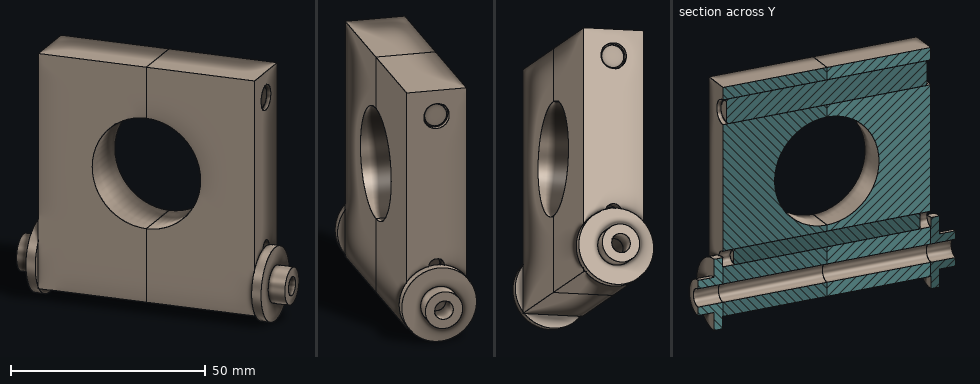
import cadquery as cq

block_width = 60.0
block_depth = 16.0
block_height = 64.0
half_width = block_width / 2

clamp_bore_diameter = 30.0
clamp_bore_height = 35.05

overall_length = 74.4
flange_diameter = 20.0
flange_thickness = 2.6
hub_diameter = 10.0
hub_length = (overall_length - block_width) / 2 - flange_thickness
bush_bore_diameter = 5.0
bush_height = 6.55

pin_chamfer = 0.45
upper_pin_diameter = 6.8
upper_pin_height = 57.0
upper_pin_recess = 1.0
lower_pin_diameter = 4.25
lower_pin_height = 16.1
lower_pin_recess = 3.0


def cylinder_along_x(diameter, start_x, length, height):
    """Cylinder parallel to X, centred on Y = 0 at the given height."""
    return (
        cq.Workplane("YZ", origin=(start_x, 0, height))
        .circle(diameter / 2)
        .extrude(length)
    )


def cross_hole(diameter, height):
    """Cutter for a hole along X through the full width of the block."""
    return cylinder_along_x(diameter, -half_width, block_width, height)


def make_clamp_half(side):
    """Half of the clamp block; side is -1 for the -X half and +1 for the +X half."""
    half = cq.Workplane("XY", origin=(side * half_width / 2, 0, 0)).box(
        half_width, block_depth, block_height, centered=(True, True, False)
    )
    clamp_bore = (
        cq.Workplane("XZ", origin=(0, 0, clamp_bore_height))
        .circle(clamp_bore_diameter / 2)
        .extrude(block_depth / 2, both=True)
    )
    return (
        half.cut(clamp_bore)
        .cut(cross_hole(upper_pin_diameter, upper_pin_height))
        .cut(cross_hole(lower_pin_diameter, lower_pin_height))
        .cut(cross_hole(bush_bore_diameter, bush_height))
    )


def make_bush(side):
    """Flange against an end face of the block, with a hub outside it and a through bore."""
    flange = cylinder_along_x(flange_diameter, side * half_width, side * flange_thickness, bush_height)
    hub_start = side * (half_width + flange_thickness)
    hub = cylinder_along_x(hub_diameter, hub_start, side * hub_length, bush_height)
    bore = cylinder_along_x(bush_bore_diameter, -overall_length / 2, overall_length, bush_height)
    return flange.union(hub).cut(bore)


def make_pin(diameter, height, recess):
    """Pin through both halves with chamfered ends, each set back from the end face."""
    pin = cylinder_along_x(diameter, recess - half_width, block_width - 2 * recess, height)
    return pin.faces("<X or >X").chamfer(pin_chamfer)


sides = (-1, 1)
clamp_halves = [make_clamp_half(side) for side in sides]
bushes = [make_bush(side) for side in sides]
upper_pin = make_pin(upper_pin_diameter, upper_pin_height, upper_pin_recess)
lower_pin = make_pin(lower_pin_diameter, lower_pin_height, lower_pin_recess)

bodies = [*clamp_halves, *bushes, upper_pin, lower_pin]
result = cq.Compound.makeCompound([body.val() for body in bodies])